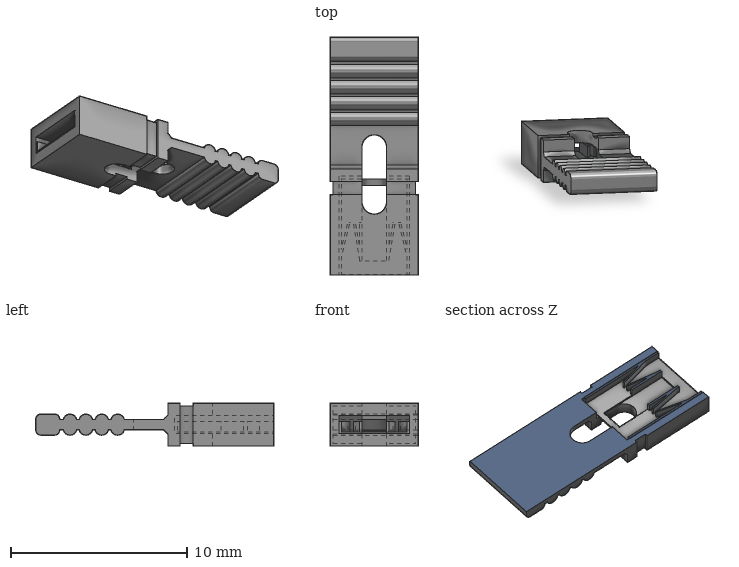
import cadquery as cq


width = 5.0
height = 2.44
length = 13.5
front_block_end = 4.57
neck_end = 5.31
flange_end = 6.01
neck_inset = 0.15

handle_thickness = 0.6
root_chamfer = 0.24
grip_height = 1.2
end_block_length = 1.37
end_block_fillet = 0.3
ridge_count = 4
ridge_pitch = 0.9
ridge_width = 0.76
first_ridge_y = 8.855

slot_width = 1.38
slot_start = 3.47
slot_end = 7.95
cavity_width = 3.98
cavity_height = 1.02
cavity_depth = 5.62
floor_z = -cavity_height / 2

sheet = 0.12
floor_thickness = 0.09
contact_rear = 5.46
contact_front = 0.03
contact_height = 0.69
contact_window_start = 0.8
contact_window_end = 5.08
post_thickness = 0.16
leaf_start = 1.0
leaf_length = 2.0
leaf_end = leaf_start + leaf_length
outer_leaf_tip_x = 1.38
inner_leaf_tip_x = 1.19


def block(x_size, z_size, y_start, y_end, z_center=0):
    """Box centred on X, spanning y_start to y_end."""
    return (
        cq.Workplane("XY")
        .box(x_size, y_end - y_start, z_size)
        .translate((0, (y_start + y_end) / 2, z_center))
    )


def make_handle():
    """Flat tongue with chamfered root, rounded ridges and a filleted end block."""
    half_plate = handle_thickness / 2
    half_root = half_plate + root_chamfer
    half_grip = grip_height / 2
    root = (
        cq.Workplane("YZ")
        .polyline([
            (flange_end, -half_root),
            (flange_end + root_chamfer, -half_plate),
            (flange_end + root_chamfer, half_plate),
            (flange_end, half_root),
        ])
        .close()
        .extrude(width / 2, both=True)
    )
    handle = root.union(block(width, handle_thickness, flange_end, length - end_block_length / 2))
    end_block = block(width, grip_height, length - end_block_length, length)
    handle = handle.union(end_block.edges("|X").fillet(end_block_fillet))
    for index in range(ridge_count):
        ridge_y = first_ridge_y + index * ridge_pitch
        left = ridge_y - ridge_width / 2
        right = ridge_y + ridge_width / 2
        ridge = (
            cq.Workplane("YZ")
            .moveTo(left, -half_plate)
            .lineTo(left, half_plate)
            .threePointArc((ridge_y, half_grip), (right, half_plate))
            .lineTo(right, -half_plate)
            .threePointArc((ridge_y, -half_grip), (left, -half_plate))
            .close()
            .extrude(width / 2, both=True)
        )
        handle = handle.union(ridge)
    return handle


def make_housing():
    """Front block, neck, flange and handle, with the cavity and the window slot cut."""
    front = block(width, height, 0, front_block_end)
    neck = block(width - 2 * neck_inset, height - 2 * neck_inset, front_block_end, neck_end)
    flange = block(width, height, neck_end, flange_end)
    body = front.union(neck).union(flange).union(make_handle())
    slot = (
        cq.Workplane("XY")
        .center(0, (slot_start + slot_end) / 2)
        .slot2D(slot_end - slot_start, slot_width, angle=90)
        .extrude(height, both=True)
    )
    return body.cut(block(cavity_width, cavity_height, 0, cavity_depth)).cut(slot)


def plan_solid(points):
    """Upright sheet piece with the given outline in plan, standing on the cavity floor."""
    return cq.Workplane("XY").workplane(offset=floor_z).polyline(points).close().extrude(contact_height)


def leaf(root_x, tip_x, back_x):
    """Slanted spring leaf from root_x to tip_x; back_x offsets its rear face."""
    return plan_solid([
        (root_x, leaf_start),
        (tip_x, leaf_end),
        (tip_x + back_x, leaf_end),
        (root_x + back_x, leaf_start),
    ])


def make_contact():
    """Floor plate with side walls, a central window, two posts and two pairs of leaves."""
    contact = block(cavity_width, floor_thickness, contact_front, contact_rear, floor_z + floor_thickness / 2)
    contact = contact.cut(block(slot_width, height, contact_window_start, contact_window_end))
    wall_x = cavity_width / 2
    wall_inner_x = wall_x - sheet
    post_inner_x = slot_width / 2
    post_outer_x = post_inner_x + post_thickness
    for side in (-1, 1):
        contact = contact.union(plan_solid([
            (side * wall_inner_x, contact_front),
            (side * wall_x, contact_front),
            (side * wall_x, contact_rear),
            (side * wall_inner_x, contact_rear),
        ]))
        contact = contact.union(plan_solid([
            (side * post_inner_x, contact_window_start),
            (side * post_outer_x, contact_window_start),
            (side * post_outer_x, leaf_end),
            (side * post_inner_x, leaf_end),
        ]))
        contact = contact.union(leaf(side * wall_inner_x, side * outer_leaf_tip_x, side * sheet))
        contact = contact.union(leaf(side * post_outer_x, side * inner_leaf_tip_x, -side * sheet))
    return contact


housing = make_housing()
contact = make_contact()
result = cq.Compound.makeCompound([housing.solids().val(), contact.solids().val()])